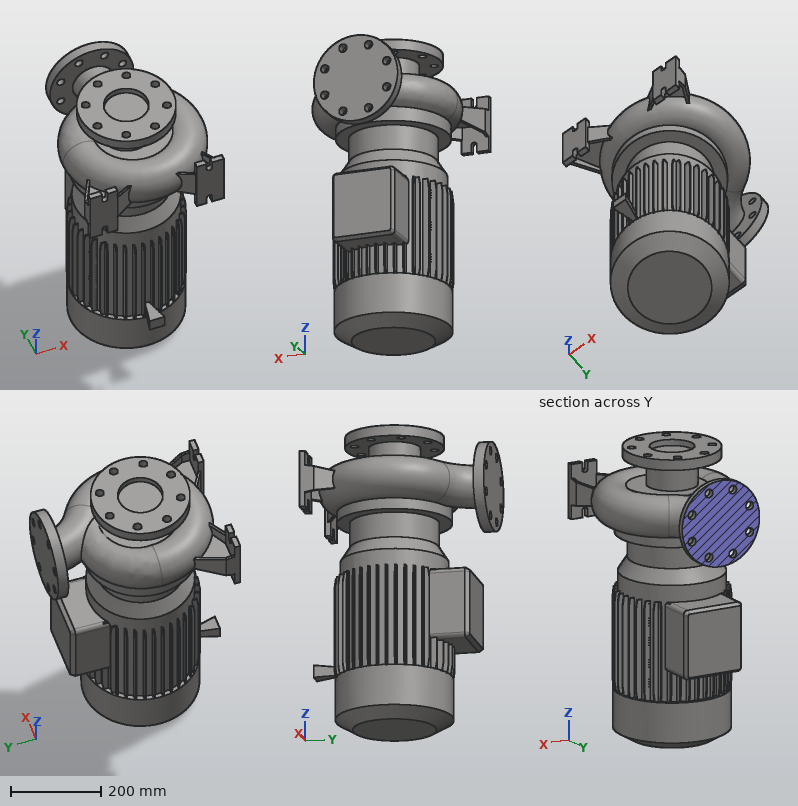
import cadquery as cq
import math


FLANGE_THICKNESS = 24.0
BOLT_COUNT = 8
BOLT_HOLE_DIAMETER = 18.0
SUCTION_FACE_Z = 125.0
SUCTION_FLANGE_DIAMETER = 220.0
SUCTION_BOLT_CIRCLE = 180.0
SUCTION_BORE_DIAMETER = 100.0
SUCTION_BORE_DEPTH = 14.0
SUCTION_NECK_DIAMETER = 115.0
DISCHARGE_FACE_Y = 225.0
DISCHARGE_FLANGE_DIAMETER = 200.0
DISCHARGE_BOLT_CIRCLE = 160.0

TUBE_RADIUS = 47.5
SCROLL_NEAR_RADIUS = 104.5
SCROLL_FAR_RADIUS = 133.5
TAIL_SWEEP = 120.0
TAIL_END_RADIUS = 40.0
HUB_RADIUS = 115.0
HUB_TOP_Z = 37.5

ADAPTER_RADIUS = 128.0
ADAPTER_BOTTOM_Z = -72.0
LANTERN_RADIUS = 99.5
LANTERN_BOTTOM_Z = -129.0
MOTOR_RADIUS = 120.5
MOTOR_SHOULDER_Z = -161.5
FIN_TOP_Z = -200.0
FIN_BOTTOM_Z = -430.0
COWL_RADIUS = 131.5
COWL_EDGE_Z = -522.5
COWL_END_RADIUS = 93.0
MOTOR_BOTTOM_Z = -545.0

FIN_COUNT = 40
FIN_THICKNESS = 3.0
FIN_PROTRUSION = 13.0
FIN_EMBEDDING = 5.0
FIN_END_DROP = 3.0
FIN_TAPER_LENGTH = 20.0

BOX_WIDTH = 148.0
BOX_HEIGHT = 160.0
BOX_FACE_Y = 186.0
BOX_EDGE_RADIUS = 10.0
BOX_BEVEL_DEPTH = 10.0
BOX_BEVEL_INSET = 6.5

FOOT_FACE_Y = -180.0
FOOT_OUTER_X = 160.0
FOOT_WIDTH = 65.0
FOOT_HEIGHT = 127.0
FOOT_THICKNESS = 13.0
FOOT_SLOT_WIDTH = 13.0
FOOT_SLOT_DEPTH = 23.0
FOOT_SLOT_X = 125.0
WALL_THICKNESS = 6.0
WALL_FOLD_Y = -147.0
OUTER_WALL_ANGLE = 63.5
INNER_WALL_ANGLE = 30.0
WALL_HALF_HEIGHT = 31.0
WALL_TAPER = 0.18
WEB_THICKNESS = 6.0

LUG_WIDTH = 36.0
LUG_HEIGHT = 28.0
LUG_CENTER_Z = -404.0
LUG_ROOT_WIDTH = 8.0
LUG_ROOT_HEIGHT = 17.0
LUG_ROOT_Y = -116.0


def cylinder(radius, bottom_z, top_z):
    return cq.Workplane("XY", origin=(0, 0, bottom_z)).circle(radius).extrude(top_z - bottom_z)


def flange(diameter, bolt_circle):
    """Flange with its face at Z = 0, reaching down; the bolt holes straddle the axes."""
    bolt_pitch = 360.0 / BOLT_COUNT
    disc = cylinder(diameter / 2, -FLANGE_THICKNESS, 0)
    holes = (
        cq.Workplane("XY")
        .polarArray(bolt_circle / 2, bolt_pitch / 2, 360, BOLT_COUNT)
        .circle(BOLT_HOLE_DIAMETER / 2)
        .extrude(-FLANGE_THICKNESS)
    )
    return disc.cut(holes)


def bent_tube(center_x, center_y, bend_radius, start_angle, sweep_angle):
    """Round tube bent counter-clockwise (seen from +Z) about a vertical axis."""
    return (
        cq.Workplane("XZ")
        .center(bend_radius, 0)
        .circle(TUBE_RADIUS)
        .revolve(sweep_angle, (-bend_radius, 0), (-bend_radius, 1))
        .rotate((0, 0, 0), (0, 0, 1), start_angle)
        .translate((center_x, center_y, 0))
    )


def direction(angle):
    """Horizontal unit vector at the given angle from +X, in degrees."""
    return cq.Vector(math.cos(math.radians(angle)), math.sin(math.radians(angle)), 0)


def tube_section(angle, center_radius, radius):
    """Circle in the vertical plane through the shaft axis at the given angle from +X."""
    radial = direction(angle)
    tangent = cq.Vector(radial.y, -radial.x, 0)
    plane = cq.Plane(origin=radial * center_radius, xDir=radial, normal=tangent)
    return cq.Workplane(plane).circle(radius).wires().val()


def make_scroll_tail():
    """Narrowing tube that keeps the outer radius of the -X end of the scroll."""
    outer_radius = SCROLL_NEAR_RADIUS + TUBE_RADIUS
    end_center_radius = outer_radius - TAIL_END_RADIUS
    end_angle = 180 - TAIL_SWEEP
    start = tube_section(180, SCROLL_NEAR_RADIUS, TUBE_RADIUS)
    end = tube_section(end_angle, end_center_radius, TAIL_END_RADIUS)
    spine = cq.Edge.makeThreePointArc(
        direction(180) * SCROLL_NEAR_RADIUS,
        direction(180 - TAIL_SWEEP / 2) * SCROLL_NEAR_RADIUS,
        direction(end_angle) * SCROLL_NEAR_RADIUS,
    )
    return cq.Workplane("XY").add(cq.Solid.sweep_multi([start, end], spine))


def make_volute():
    scroll_radius = (SCROLL_NEAR_RADIUS + SCROLL_FAR_RADIUS) / 2
    scroll_center_x = (SCROLL_FAR_RADIUS - SCROLL_NEAR_RADIUS) / 2
    exit_angle = 2 * math.atan(SCROLL_FAR_RADIUS / DISCHARGE_FACE_Y)
    exit_degrees = math.degrees(exit_angle)
    outlet_radius = DISCHARGE_FACE_Y / math.sin(exit_angle) - scroll_radius

    scroll = bent_tube(scroll_center_x, 0, scroll_radius, 180, 180 + exit_degrees)
    outlet = bent_tube(outlet_radius, DISCHARGE_FACE_Y, outlet_radius, 180, exit_degrees)
    tail = make_scroll_tail()
    hub = cylinder(HUB_RADIUS, ADAPTER_BOTTOM_Z, HUB_TOP_Z)
    return hub.union(scroll).union(tail).union(outlet)


def make_suction():
    neck = cylinder(SUCTION_NECK_DIAMETER / 2, 0, SUCTION_FACE_Z - FLANGE_THICKNESS)
    top = flange(SUCTION_FLANGE_DIAMETER, SUCTION_BOLT_CIRCLE)
    bore = cylinder(SUCTION_BORE_DIAMETER / 2, -SUCTION_BORE_DEPTH, 0)
    return neck.union(top.cut(bore).translate((0, 0, SUCTION_FACE_Z)))


def make_discharge_flange():
    upright = flange(DISCHARGE_FLANGE_DIAMETER, DISCHARGE_BOLT_CIRCLE)
    return upright.rotate((0, 0, 0), (1, 0, 0), -90).translate((0, DISCHARGE_FACE_Y, 0))


def make_motor():
    profile = [
        (0, 0),
        (ADAPTER_RADIUS, 0),
        (ADAPTER_RADIUS, ADAPTER_BOTTOM_Z),
        (LANTERN_RADIUS, ADAPTER_BOTTOM_Z),
        (LANTERN_RADIUS, LANTERN_BOTTOM_Z),
        (MOTOR_RADIUS, MOTOR_SHOULDER_Z),
        (MOTOR_RADIUS, FIN_BOTTOM_Z),
        (COWL_RADIUS, FIN_BOTTOM_Z),
        (COWL_RADIUS, COWL_EDGE_Z),
        (COWL_END_RADIUS, MOTOR_BOTTOM_Z),
        (0, MOTOR_BOTTOM_Z),
    ]
    return cq.Workplane("XZ").polyline(profile).close().revolve(360, (0, 0), (0, 1))


def make_fin(offset):
    """Fin pointing along +X at the given offset from the shaft; its tip narrows at both ends."""
    surface_x = math.sqrt(MOTOR_RADIUS**2 - offset**2)
    root_x = surface_x - FIN_EMBEDDING
    tip_x = surface_x + FIN_PROTRUSION
    end_x = tip_x - FIN_END_DROP
    profile = [
        (root_x, FIN_TOP_Z),
        (end_x, FIN_TOP_Z),
        (tip_x, FIN_TOP_Z - FIN_TAPER_LENGTH),
        (tip_x, FIN_BOTTOM_Z + FIN_TAPER_LENGTH),
        (end_x, FIN_BOTTOM_Z),
        (root_x, FIN_BOTTOM_Z),
    ]
    plate = cq.Workplane("XZ").polyline(profile).close().extrude(FIN_THICKNESS / 2, both=True)
    return plate.translate((0, offset, 0))


def make_fins():
    """Four groups of parallel fins, evenly pitched around the motor where they leave it."""
    fins_per_side = FIN_COUNT // 4
    pitch = 2 * math.pi / FIN_COUNT
    fins = cq.Workplane("XY")
    for index in range(fins_per_side):
        angle = (index - (fins_per_side - 1) / 2) * pitch
        fin = make_fin(COWL_RADIUS * math.sin(angle))
        for quarter_turn in range(4):
            fins = fins.union(fin.rotate((0, 0, 0), (0, 0, 1), 90 * quarter_turn))
    return fins


def make_terminal_box():
    bevel_start_y = BOX_FACE_Y - BOX_BEVEL_DEPTH
    bevel_angle = math.degrees(math.atan(BOX_BEVEL_INSET / BOX_BEVEL_DEPTH))
    outline = cq.Sketch().rect(BOX_WIDTH, BOX_HEIGHT).vertices().fillet(BOX_EDGE_RADIUS)
    section = cq.Workplane("ZX", origin=(0, bevel_start_y, FIN_TOP_Z - BOX_HEIGHT / 2))
    section = section.transformed(rotate=(0, 0, 90))
    body = section.placeSketch(outline).extrude(-bevel_start_y)
    cover = section.placeSketch(outline).extrude(BOX_BEVEL_DEPTH, taper=bevel_angle)
    return body.union(cover)


def make_foot():
    """Foot on the +X side: slotted plate, two tapering walls and a web between them."""
    plate_back_y = FOOT_FACE_Y + FOOT_THICKNESS
    inner_x = FOOT_OUTER_X - FOOT_WIDTH
    plate = cq.Workplane("XY").box(FOOT_WIDTH, FOOT_THICKNESS, FOOT_HEIGHT)
    plate = plate.translate((FOOT_OUTER_X - FOOT_WIDTH / 2, FOOT_FACE_Y + FOOT_THICKNESS / 2, 0))
    for side in (-1, 1):
        slot = (
            cq.Workplane("XZ", origin=(FOOT_SLOT_X, plate_back_y, side * FOOT_HEIGHT / 2))
            .slot2D(2 * FOOT_SLOT_DEPTH, FOOT_SLOT_WIDTH, 90)
            .extrude(FOOT_THICKNESS)
        )
        plate = plate.cut(slot)

    wall_end_y = -SCROLL_NEAR_RADIUS / 2
    outer_run = (wall_end_y - WALL_FOLD_Y) / math.tan(math.radians(OUTER_WALL_ANGLE))
    inner_start_y = plate_back_y - WALL_THICKNESS
    inner_end_x = inner_x / 2
    inner_rise = (inner_x - inner_end_x) * math.tan(math.radians(INNER_WALL_ANGLE))
    outline = [
        (inner_x, inner_start_y),
        (FOOT_OUTER_X, inner_start_y),
        (FOOT_OUTER_X, WALL_FOLD_Y),
        (FOOT_OUTER_X - outer_run, wall_end_y),
        (inner_end_x, wall_end_y),
        (inner_end_x, inner_start_y + inner_rise),
    ]
    def plan():
        return cq.Workplane("XY").polyline(outline).close()

    web = plan().extrude(WEB_THICKNESS / 2, both=True)
    pocket = plan().offset2D(-WALL_THICKNESS).extrude(FOOT_HEIGHT / 2, both=True)
    walls = plan().extrude(FOOT_HEIGHT / 2, both=True).cut(pocket)

    end_half_height = WALL_HALF_HEIGHT - WALL_TAPER * (wall_end_y - plate_back_y)
    start_half_height = WALL_HALF_HEIGHT + WALL_TAPER * (plate_back_y - FOOT_FACE_Y)
    taper_outline = [
        (FOOT_FACE_Y, -start_half_height),
        (wall_end_y, -end_half_height),
        (wall_end_y, end_half_height),
        (FOOT_FACE_Y, start_half_height),
    ]
    taper = cq.Workplane("YZ").polyline(taper_outline).close().extrude(FOOT_OUTER_X)
    return plate.union(walls.intersect(taper)).union(web)


def make_lug():
    return (
        cq.Workplane("XZ", origin=(0, FOOT_FACE_Y, LUG_CENTER_Z))
        .rect(LUG_WIDTH, LUG_HEIGHT)
        .workplane(offset=FOOT_FACE_Y - LUG_ROOT_Y)
        .rect(LUG_ROOT_WIDTH, LUG_ROOT_HEIGHT)
        .loft(ruled=True)
    )


foot = make_foot()
result = (
    make_motor()
    .union(make_fins())
    .union(make_terminal_box())
    .union(make_lug())
    .union(make_volute())
    .union(foot)
    .union(foot.mirror("YZ"))
    .union(make_suction())
    .union(make_discharge_flange())
)